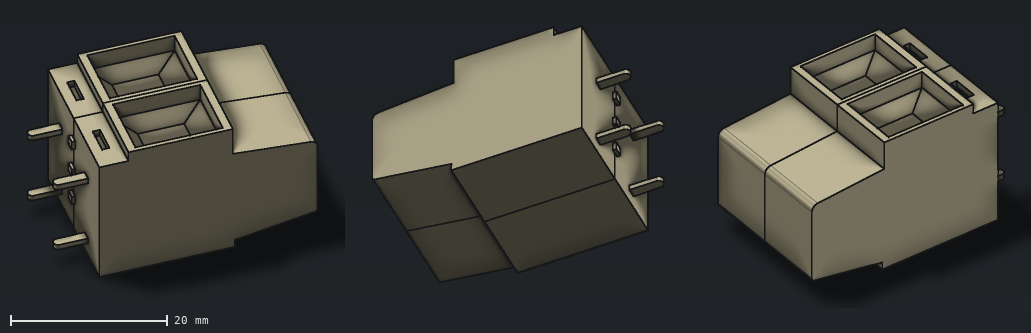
import cadquery as cq

total_length = 34.0
pole_count = 2
pole_width = 10.15
block_height = 20.0
block_length = 29.5

shelf_length = 3.95
shelf_drop = 1.45
tower_end = 18.05
foot_end = 18.35
nose_top_start = 15.8
nose_top_end = 14.82
nose_bottom_start = 1.15
nose_bottom_end = 2.95
nose_top_radius = 1.02
nose_bottom_radius = 0.5

mouth_width = 8.9
mouth_length = 11.8
mouth_depth = 2.48
throat_depth = 1.9
floor_width = 5.5
floor_length = 6.3

slot_width = 3.75
slot_length = 1.0
slot_center_y = 1.97
slot_depth = 1.0

pin_width = 1.3
pin_thickness = 0.8
pin_reach = total_length - block_length
pin_pitch = 10.13
lower_pin_z = 2.5
pin_heights = [lower_pin_z, lower_pin_z + pin_pitch]

peg_width = 1.3
peg_height = 1.25
peg_reach = 0.48
peg_pitch = 4.62
middle_peg_z = 9.93
peg_heights = [middle_peg_z - peg_pitch, middle_peg_z, middle_peg_z + peg_pitch]

first_pole_x = -(pole_count - 1) * pole_width / 2
pole_centers = [first_pole_x + i * pole_width for i in range(pole_count)]
seams = [x + pole_width / 2 for x in pole_centers[:-1]]

shelf_z = block_height - shelf_drop


def pole_block():
    """Stepped side outline extruded to the pole width, with the two far edges rounded."""
    outline = [
        (0, 0),
        (foot_end, 0),
        (foot_end, nose_bottom_start),
        (block_length, nose_bottom_end),
        (block_length, nose_top_end),
        (tower_end, nose_top_start),
        (tower_end, block_height),
        (shelf_length, block_height),
        (shelf_length, shelf_z),
        (0, shelf_z),
    ]
    block = cq.Workplane("YZ").polyline(outline).close().extrude(pole_width / 2, both=True)
    block = block.faces(">Y").edges(">Z").fillet(nose_top_radius)
    return block.faces(">Y").edges("<Z").fillet(nose_bottom_radius)


def funnel_cutter():
    """Straight mouth from the tower top, then a throat that tapers to a flat floor."""
    center_y = (shelf_length + tower_end) / 2
    throat_z = block_height - mouth_depth
    mouth = (
        cq.Workplane("XY", origin=(0, center_y, throat_z))
        .rect(mouth_width, mouth_length)
        .extrude(mouth_depth)
    )
    throat = (
        cq.Workplane("XY", origin=(0, center_y, throat_z))
        .rect(mouth_width, mouth_length)
        .workplane(offset=-throat_depth)
        .rect(floor_width, floor_length)
        .loft()
    )
    return mouth.union(throat)


def slot_cutter():
    """Shallow slot sunk into the shelf."""
    return (
        cq.Workplane("XY", origin=(0, slot_center_y, shelf_z))
        .rect(slot_width, slot_length)
        .extrude(-slot_depth)
    )


def pin(center_z):
    """Flat pin standing on the -Y face, with a fully rounded tip."""
    half_width = pin_width / 2
    tip_start_y = half_width - pin_reach
    return (
        cq.Workplane("XY", origin=(0, 0, center_z - pin_thickness / 2))
        .moveTo(half_width, 0)
        .lineTo(half_width, tip_start_y)
        .threePointArc((0, -pin_reach), (-half_width, tip_start_y))
        .lineTo(-half_width, 0)
        .close()
        .extrude(pin_thickness)
    )


def pole_housing(center_x):
    """One pole: block with funnel and slot cut in, and its two pins joined on."""
    housing = pole_block().cut(funnel_cutter()).cut(slot_cutter())
    for center_z in pin_heights:
        housing = housing.union(pin(center_z))
    return housing.translate((center_x, 0, 0))


def standoff_peg(seam_x, center_z):
    """Small rectangular peg resting on the -Y faces of two neighbouring poles."""
    return cq.Workplane("XY").box(peg_width, peg_reach, peg_height).translate(
        (seam_x, -peg_reach / 2, center_z)
    )


pole_housings = [pole_housing(x) for x in pole_centers]
standoff_pegs = [standoff_peg(x, z) for x in seams for z in peg_heights]

result = cq.Compound.makeCompound([body.val() for body in pole_housings + standoff_pegs])